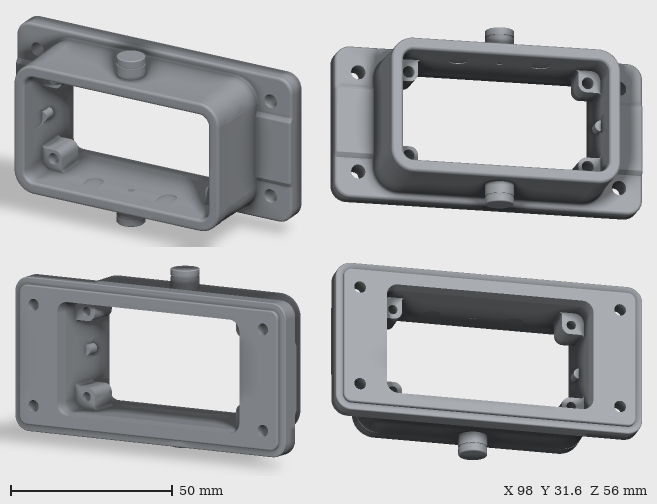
import cadquery as cq
import math


RIM_HALF_X = 36.5
RIM_HALF_Z = 21.6
RIM_CORNER_RADIUS = 7.1
RIM_DEPTH = 5.1
BODY_CORNER_RADIUS = 7.8
BODY_DRAFT = 0.4
RIM_FILLET = 0.9
BODY_BASE_FILLET = 0.7

OVERALL_DEPTH = 31.65
FLANGE_LENGTH = 98.0
FLANGE_HEIGHT = 48.6
FLANGE_CORNER_RADIUS = 4.9
FLANGE_FRONT = 24.0
FLANGE_FRONT_FILLET = 0.9
FLANGE_BACK_FILLET = 0.4
SEAL_INSET = 2.3
SEAL_THICKNESS = 1.2
SEAL_BACK_FILLET = 0.5
SEAL_FRONT = OVERALL_DEPTH - SEAL_THICKNESS

PAD_HEIGHT = 0.9
PAD_TOP_HALF_Z = 10.2
PAD_FOOT_HALF_Z = 11.7
PAD_EDGE_FILLET = 0.4

MOUTH_HALF_X = 32.7
MOUTH_HALF_Z = 17.6
MOUTH_DRAFT = 0.1
MOUTH_CORNER_RADIUS = 3.3
THROAT_STEP = 0.2
THROAT_HALF_X = MOUTH_HALF_X - THROAT_STEP
THROAT_HALF_Z = MOUTH_HALF_Z - THROAT_STEP
THROAT_CORNER_RADIUS = MOUTH_CORNER_RADIUS - THROAT_STEP
RAMP_START = 5.5
RAMP_END = 10.5
FLARE_START = 27.4
FLARE_STEP = 0.5

RELIEF_WIDTH = 5.5
RELIEF_CENTRE_Y = 9.9
RELIEF_SPACING_X = 26.2

POST_FRONT = 11.2
POST_LENGTH = 10.2
POST_INNER_X = 25.6
POST_INNER_Z = 10.5
POST_CORNER_RADIUS = 2.5
POST_ROOT_FILLET = 0.9
POST_HOLE_X = 28.5
POST_HOLE_Z = 13.4
POST_HOLE_FRONT_RADIUS = 1.9
POST_HOLE_BACK_RADIUS = 1.5
RIB_RADIUS = 1.7
RIB_LENGTH = 4.1

MOUNT_HOLE_X = 41.5
MOUNT_HOLE_Z = 16.0
MOUNT_HOLE_FRONT_RADIUS = 2.3
MOUNT_HOLE_BACK_RADIUS = 1.9

OVERALL_HEIGHT = 56.0
PIN_CENTRE_Y = 9.5
PIN_RADIUS = 4.5
PIN_END_FILLET = 0.4
PIN_GROOVE_FROM_END = 2.2
PIN_GROOVE_WIDTH = 0.6
PIN_GROOVE_DEPTH = 0.3
PIN_BORE_DIAMETER = 2.1
PIN_BORE_DEPTH = 0.2

SELECT_MARGIN = 0.1
OVERLAP = 1.0


def rounded_block(half_x, half_z, radius, front, back, draft=0.0):
    """Rounded rectangle given at the back plane, shrinking by draft on each side toward the front."""
    depth = back - front
    outline = cq.Sketch().rect(2 * half_x, 2 * half_z).vertices().fillet(radius)
    angle = math.degrees(math.atan2(draft, depth))
    return cq.Workplane("XZ", origin=(0, back, 0)).placeSketch(outline).extrude(depth, taper=angle)


def edges_within(half_x, half_z, front, back):
    """Selects edges centred within a slab between two Y positions."""
    return cq.selectors.BoxSelector(
        (-half_x - SELECT_MARGIN, front - SELECT_MARGIN, -half_z - SELECT_MARGIN),
        (half_x + SELECT_MARGIN, back + SELECT_MARGIN, half_z + SELECT_MARGIN))


def four_corners(x, z):
    return [(side * x, end * z) for side in (-1, 1) for end in (-1, 1)]


def make_flange():
    plate = rounded_block(FLANGE_LENGTH / 2, FLANGE_HEIGHT / 2, FLANGE_CORNER_RADIUS,
                          FLANGE_FRONT, SEAL_FRONT)
    plate = plate.faces(">Y").edges().fillet(FLANGE_BACK_FILLET)
    pad_front = FLANGE_FRONT - PAD_HEIGHT
    pad = (
        cq.Workplane("YZ", origin=(-FLANGE_LENGTH / 2, 0, 0))
        .moveTo(FLANGE_FRONT, -PAD_FOOT_HALF_Z)
        .lineTo(pad_front, -PAD_TOP_HALF_Z)
        .lineTo(pad_front, PAD_TOP_HALF_Z)
        .lineTo(FLANGE_FRONT, PAD_FOOT_HALF_Z)
        .close()
        .extrude(FLANGE_LENGTH)
        .faces("<Y").edges("|X").fillet(PAD_EDGE_FILLET)
    )
    strip_lines = edges_within(MOUNT_HOLE_X, PAD_FOOT_HALF_Z, pad_front, FLANGE_FRONT)
    front_edges = edges_within(FLANGE_LENGTH, FLANGE_HEIGHT, pad_front, FLANGE_FRONT)
    plate = plate.union(pad).edges(front_edges - strip_lines).fillet(FLANGE_FRONT_FILLET)
    seal = rounded_block(FLANGE_LENGTH / 2 - SEAL_INSET, FLANGE_HEIGHT / 2 - SEAL_INSET,
                         FLANGE_CORNER_RADIUS - SEAL_INSET, SEAL_FRONT, OVERALL_DEPTH)
    seal = seal.faces(">Y").edges().fillet(SEAL_BACK_FILLET)
    return plate.union(seal)


def add_body(flange):
    body = rounded_block(RIM_HALF_X + BODY_DRAFT, RIM_HALF_Z + BODY_DRAFT, BODY_CORNER_RADIUS,
                         RIM_DEPTH, FLANGE_FRONT, BODY_DRAFT)
    rim = rounded_block(RIM_HALF_X, RIM_HALF_Z, RIM_CORNER_RADIUS, 0, RIM_DEPTH)
    rim = rim.faces("<Y").edges().fillet(RIM_FILLET)
    joined = flange.union(body)
    base_ring = edges_within(RIM_HALF_X + BODY_DRAFT, RIM_HALF_Z + BODY_DRAFT,
                             FLANGE_FRONT - PAD_HEIGHT, FLANGE_FRONT)
    joined = joined.edges(base_ring).fillet(BODY_BASE_FILLET)
    return joined.union(rim)


def make_cavity():
    mouth = rounded_block(MOUTH_HALF_X, MOUTH_HALF_Z, MOUTH_CORNER_RADIUS, 0, RAMP_START, -MOUTH_DRAFT)
    ramp = rounded_block(THROAT_HALF_X, THROAT_HALF_Z, THROAT_CORNER_RADIUS,
                         RAMP_START, RAMP_END, -THROAT_STEP)
    throat = rounded_block(THROAT_HALF_X, THROAT_HALF_Z, THROAT_CORNER_RADIUS, RAMP_END, FLARE_START)
    flare = rounded_block(THROAT_HALF_X + FLARE_STEP, THROAT_HALF_Z + FLARE_STEP,
                          THROAT_CORNER_RADIUS + FLARE_STEP, FLARE_START, OVERALL_DEPTH, FLARE_STEP)
    cavity = mouth.union(ramp).union(throat).union(flare)

    slot_length = 2 * (RELIEF_CENTRE_Y - RAMP_START) + RELIEF_WIDTH
    floor_and_roof_slots = (
        cq.Workplane("XY", origin=(0, RAMP_START, -MOUTH_HALF_Z))
        .pushPoints([(-RELIEF_SPACING_X / 2, 0), (RELIEF_SPACING_X / 2, 0)])
        .slot2D(slot_length, RELIEF_WIDTH, 90)
        .extrude(2 * MOUTH_HALF_Z)
    )
    end_wall_slot = (
        cq.Workplane("YZ", origin=(-MOUTH_HALF_X, RAMP_START, 0))
        .slot2D(slot_length, RELIEF_WIDTH)
        .extrude(2 * MOUTH_HALF_X)
    )
    reach = rounded_block(MOUTH_HALF_X, MOUTH_HALF_Z, MOUTH_CORNER_RADIUS, RAMP_START, FLARE_START)
    return cavity.union(floor_and_roof_slots.union(end_wall_slot).intersect(reach))


def make_post(side, end):
    outer_x = MOUTH_HALF_X + OVERLAP
    outer_z = MOUTH_HALF_Z + OVERLAP
    block = (
        cq.Workplane("XZ", origin=(0, POST_FRONT, 0))
        .center(side * (POST_INNER_X + outer_x) / 2, end * (POST_INNER_Z + outer_z) / 2)
        .rect(outer_x - POST_INNER_X, outer_z - POST_INNER_Z)
        .extrude(-POST_LENGTH)
    )
    inner_edge = cq.selectors.NearestToPointSelector(
        (side * POST_INNER_X, POST_FRONT + POST_LENGTH / 2, end * POST_INNER_Z))
    return block.edges(inner_edge).fillet(POST_CORNER_RADIUS)


def make_rib(side):
    return (
        cq.Workplane("XZ", origin=(side * THROAT_HALF_X, POST_FRONT, 0))
        .circle(RIB_RADIUS)
        .extrude(-RIB_LENGTH)
    )


def drill(part, points, front, back, front_radius, back_radius):
    """Drafted through holes along Y, widest at the front."""
    for x, z in points:
        start = cq.Vector(x, front, z)
        hole = cq.Solid.makeCone(front_radius, back_radius, back - front, start, cq.Vector(0, 1, 0))
        part = part.cut(cq.Workplane(hole))
    return part


def fillet_post_roots(part):
    """Blend each post into the cavity walls."""
    middle = POST_FRONT + POST_LENGTH / 2
    roots = four_corners(POST_INNER_X, THROAT_HALF_Z) + four_corners(THROAT_HALF_X, POST_INNER_Z)
    for x, z in roots:
        root = cq.selectors.NearestToPointSelector((x, middle, z))
        part = part.edges("|Y").edges(root).fillet(POST_ROOT_FILLET)
    return part


def make_pin(end):
    tip = OVERALL_HEIGHT / 2
    groove_top = tip - PIN_GROOVE_FROM_END
    root = RIM_HALF_Z - OVERLAP
    groove_radius = PIN_RADIUS - PIN_GROOVE_DEPTH
    pin = cq.Workplane("XY", origin=(0, PIN_CENTRE_Y, root)).circle(PIN_RADIUS).extrude(tip - root)
    pin = pin.faces(">Z").edges().fillet(PIN_END_FILLET)
    groove = (
        cq.Workplane("XY", origin=(0, PIN_CENTRE_Y, groove_top - PIN_GROOVE_WIDTH))
        .circle(PIN_RADIUS + OVERLAP).circle(groove_radius).extrude(PIN_GROOVE_WIDTH)
    )
    pin = pin.cut(groove)
    return pin if end > 0 else pin.mirror("XY")


def hollow_out(shell):
    hollow = shell.cut(make_cavity())
    mouth_edge = edges_within(MOUTH_HALF_X + MOUTH_DRAFT, MOUTH_HALF_Z + MOUTH_DRAFT, 0, 0)
    return hollow.edges(mouth_edge).fillet(RIM_FILLET)


def add_posts_and_ribs(part, shell):
    """Posts and ribs are trimmed to the shell so that none pokes outside it."""
    for side in (-1, 1):
        part = part.union(make_rib(side).intersect(shell))
        for end in (-1, 1):
            part = part.union(make_post(side, end).intersect(shell))
    return fillet_post_roots(part)


def drill_holes(part):
    part = drill(part, four_corners(POST_HOLE_X, POST_HOLE_Z), POST_FRONT, POST_FRONT + POST_LENGTH,
                 POST_HOLE_FRONT_RADIUS, POST_HOLE_BACK_RADIUS)
    return drill(part, four_corners(MOUNT_HOLE_X, MOUNT_HOLE_Z), FLANGE_FRONT, OVERALL_DEPTH,
                 MOUNT_HOLE_FRONT_RADIUS, MOUNT_HOLE_BACK_RADIUS)


def make_pin_bores():
    """One cylinder across the cavity that leaves a shallow recess under each pin."""
    reach = THROAT_HALF_Z + PIN_BORE_DEPTH
    return (
        cq.Workplane("XY", origin=(0, PIN_CENTRE_Y, -reach))
        .circle(PIN_BORE_DIAMETER / 2)
        .extrude(2 * reach)
    )


shell = add_body(make_flange())
for end in (-1, 1):
    shell = shell.union(make_pin(end))
part = add_posts_and_ribs(hollow_out(shell), shell)
result = drill_holes(part).cut(make_pin_bores())